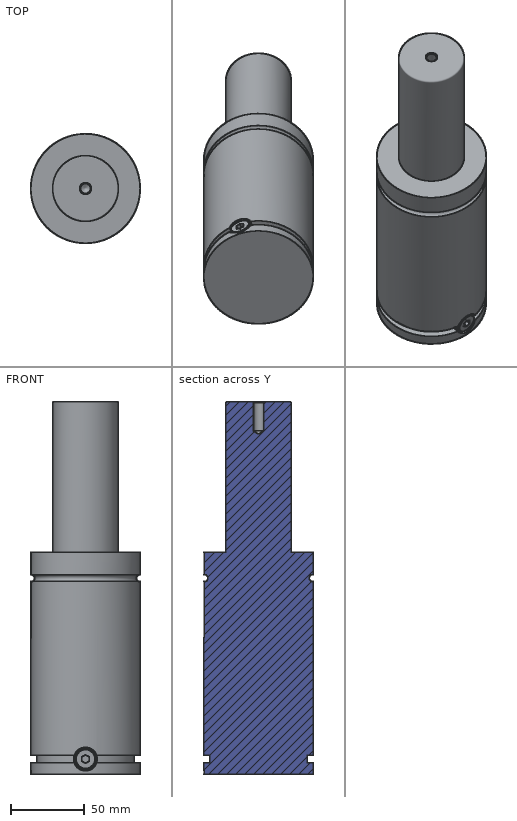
import cadquery as cq
import math

body_diameter = 75.0
body_height = 152.0
rod_diameter = 45.0
total_height = 255.0
rod_fillet = 1.0

base_groove_bottom = 8.0
base_groove_top = 13.0
base_groove_diameter = 67.0

round_groove_radius = 2.25
round_groove_height = 134.25
round_groove_depth = 2.6

rod_hole_diameter = 6.8
rod_hole_depth = 20.0
rod_hole_countersink_diameter = 8.0
drill_point_angle = 118.0

plug_flange_diameter = 16.0
plug_diameter = 14.0
plug_chamfer = 0.5
plug_height = 10.5
plug_face_distance = 37.0
plug_flange_drop = 4.0
plug_length = 8.0
socket_width = 5.0
socket_depth = 3.0

body_radius = body_diameter / 2
rod_radius = rod_diameter / 2
flange_face_distance = plug_face_distance - plug_flange_drop


def make_body_and_rod():
    """Revolve the half outline of body and rod about Z."""
    base_groove_radius = base_groove_diameter / 2
    round_groove_bottom = round_groove_height - round_groove_radius
    round_groove_top = round_groove_height + round_groove_radius
    groove_arc_center_radius = body_radius - round_groove_depth + round_groove_radius
    outline = (
        cq.Workplane("XZ")
        .moveTo(0, 0)
        .lineTo(body_radius, 0)
        .lineTo(body_radius, base_groove_bottom)
        .lineTo(base_groove_radius, base_groove_bottom)
        .lineTo(base_groove_radius, base_groove_top)
        .lineTo(body_radius, base_groove_top)
        .lineTo(body_radius, round_groove_bottom)
        .lineTo(groove_arc_center_radius, round_groove_bottom)
        .threePointArc(
            (body_radius - round_groove_depth, round_groove_height),
            (groove_arc_center_radius, round_groove_top),
        )
        .lineTo(body_radius, round_groove_top)
        .lineTo(body_radius, body_height)
        .lineTo(rod_radius, body_height)
        .lineTo(rod_radius, total_height - rod_fillet)
        .tangentArcPoint((rod_radius - rod_fillet, total_height), relative=False)
        .lineTo(0, total_height)
        .close()
    )
    return outline.revolve(360, (0, 0, 0), (0, 1, 0))


def make_rod_hole():
    """Drilled hole with a conical bottom and a 45-degree countersink."""
    hole_radius = rod_hole_diameter / 2
    mouth_radius = rod_hole_countersink_diameter / 2
    countersink_depth = mouth_radius - hole_radius
    point_length = hole_radius / math.tan(math.radians(drill_point_angle / 2))
    hole_bottom = total_height - rod_hole_depth
    outline = (
        cq.Workplane("XZ")
        .moveTo(0, total_height)
        .lineTo(mouth_radius, total_height)
        .lineTo(hole_radius, total_height - countersink_depth)
        .lineTo(hole_radius, hole_bottom)
        .lineTo(0, hole_bottom - point_length)
        .close()
    )
    return outline.revolve(360, (0, 0, 0), (0, 1, 0))


def valve_disc(diameter, outer_distance, length):
    """Disc on the valve axis, running inward (+Y) from its outer face."""
    return (
        cq.Workplane("XZ", origin=(0, -outer_distance, plug_height))
        .circle(diameter / 2)
        .extrude(-length)
    )


def make_socket():
    """Hexagonal socket with one corner pointing up."""
    corner_diameter = socket_width / math.cos(math.pi / 6)
    return (
        cq.Workplane("XZ", origin=(0, -plug_face_distance, plug_height))
        .transformed(rotate=(0, 0, 90))
        .polygon(6, corner_diameter)
        .extrude(-socket_depth)
    )


def make_plug():
    """Chamfered round plug with a hexagonal socket, rising from a wider flange."""
    plug = valve_disc(plug_diameter, plug_face_distance, plug_length)
    plug = plug.faces("<Y").chamfer(plug_chamfer).cut(make_socket())
    flange = valve_disc(plug_flange_diameter, flange_face_distance, plug_length - plug_flange_drop)
    return plug.union(flange)


plug_pocket = valve_disc(plug_flange_diameter, body_radius, plug_length)

result = (
    make_body_and_rod()
    .cut(make_rod_hole())
    .cut(plug_pocket)
    .union(make_plug())
)